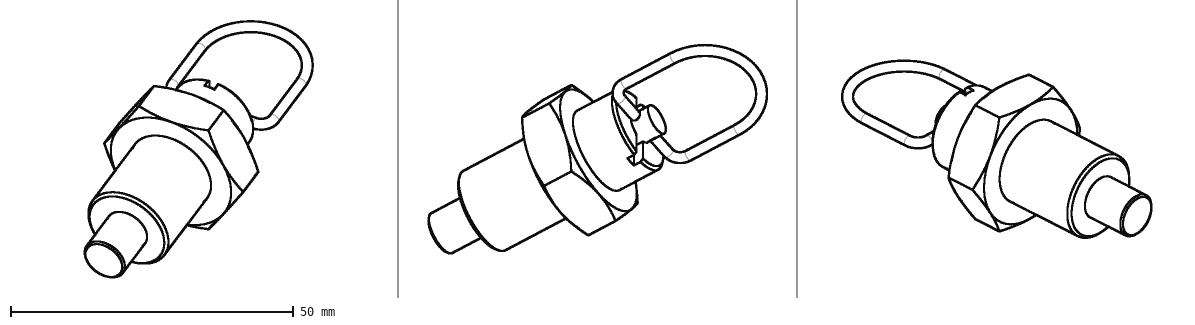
import cadquery as cq
import math


total_length = 68.0

sleeve_diameter = 16.0
sleeve_start = 9.0
sleeve_length = 34.0
sleeve_end = sleeve_start + sleeve_length
sleeve_chamfer = 0.55
slot_width = 2.0
slot_depth = 2.0

nut_across_flats = 24.0
nut_start = 26.05
nut_length = 8.0
nut_end = nut_start + nut_length
nut_across_corners = nut_across_flats / math.cos(math.radians(30))
nut_chamfer_angle = 30

pin_diameter = 8.0
pin_chamfer = 0.35
stem_diameter = 5.65
stem_end = 46.65
step_position = nut_end

wire_diameter = 2.0
ring_width = 22.0
ring_corner_radius = 2.5
ring_half_width = (ring_width - wire_diameter) / 2
ring_base = sleeve_end + wire_diameter / 2
ring_arc_center = total_length - ring_width / 2


def cylinder(diameter, start, end):
    """Cylinder along Y between two positions."""
    base = cq.Workplane("XZ", origin=(0, start, 0))
    return base.circle(diameter / 2).extrude(start - end)


def make_plunger_blank():
    """Stepped plunger before the wire hole is cut."""
    pin = cylinder(pin_diameter, 0, step_position).faces("<Y").chamfer(pin_chamfer)
    stem = cylinder(stem_diameter, step_position, stem_end)
    return pin.union(stem)


def make_plunger():
    """Plunger with a cross hole for the ring wire."""
    wire_hole = (
        cq.Workplane("YZ")
        .center(ring_base, 0)
        .circle(wire_diameter / 2)
        .extrude(stem_diameter, both=True)
    )
    return make_plunger_blank().cut(wire_hole)


def make_sleeve():
    """Chamfered sleeve with a stepped bore and a slot across its rear end."""
    outside = cylinder(sleeve_diameter, sleeve_start, sleeve_end)
    outside = outside.faces("<Y or >Y").chamfer(sleeve_chamfer)
    slot = cq.Workplane("XY").box(slot_width, 2 * slot_depth, 2 * sleeve_diameter)
    slot = slot.translate((0, sleeve_end, 0))
    return outside.cut(slot).cut(make_plunger_blank())


def make_nut():
    """Hex nut with conical chamfers on the corners of both end faces."""
    hexagon = (
        cq.Workplane("XZ", origin=(0, nut_start, 0))
        .polygon(6, nut_across_corners)
        .extrude(-nut_length)
    )
    corner_excess = (nut_across_corners - nut_across_flats) / 2
    chamfer_depth = corner_excess * math.tan(math.radians(nut_chamfer_angle))
    face_radius = nut_across_flats / 2
    corner_radius = nut_across_corners / 2
    chamfer_envelope = (
        cq.Workplane("XY")
        .moveTo(0, nut_start)
        .lineTo(face_radius, nut_start)
        .lineTo(corner_radius, nut_start + chamfer_depth)
        .lineTo(corner_radius, nut_end - chamfer_depth)
        .lineTo(face_radius, nut_end)
        .lineTo(0, nut_end)
        .close()
        .revolve(360, (0, 0, 0), (0, 1, 0))
    )
    bore = cylinder(sleeve_diameter, nut_start, nut_end)
    return hexagon.intersect(chamfer_envelope).cut(bore)


def make_ring():
    """Closed D-shaped wire ring with rounded lower corners."""
    straight_end = ring_half_width - ring_corner_radius
    corner_top = ring_base + ring_corner_radius
    path = (
        cq.Workplane("XY")
        .moveTo(0, ring_base)
        .lineTo(straight_end, ring_base)
        .radiusArc((ring_half_width, corner_top), -ring_corner_radius)
        .lineTo(ring_half_width, ring_arc_center)
        .threePointArc((0, ring_arc_center + ring_half_width), (-ring_half_width, ring_arc_center))
        .lineTo(-ring_half_width, corner_top)
        .radiusArc((-straight_end, ring_base), -ring_corner_radius)
        .close()
    )
    section = cq.Workplane("YZ").center(ring_base, 0).circle(wire_diameter / 2)
    return section.sweep(path)


plunger = make_plunger()
sleeve = make_sleeve()
nut = make_nut()
ring = make_ring()

result = cq.Compound.makeCompound([plunger.val(), sleeve.val(), nut.val(), ring.val()])